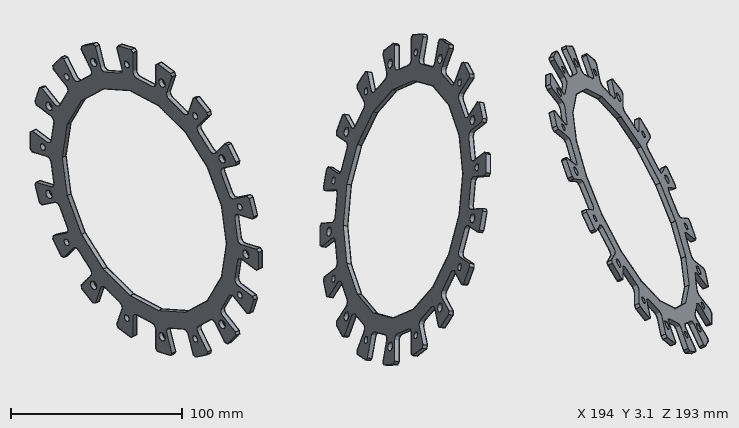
import cadquery as cq
import math

tooth_count = 18
tooth_pitch = 360 / tooth_count
tip_distance = 97.0
thickness = 3.1
bore_apothem = 68.7
slot_floor = 79.4
slot_width = 19.2
slot_floor_radius = 3.1
tooth_corner_chamfer = 1.7
hole_circle_radius = 86.4
large_hole_diameter = 5.2
small_hole_diameter = 4.0


def polygon_prism(apothem):
    """Regular prism centred on Y = 0, with one vertex per tooth."""
    half_pitch = math.radians(tooth_pitch / 2)
    diameter = 2 * apothem / math.cos(half_pitch)
    return cq.Workplane("XZ").polygon(tooth_count, diameter).extrude(thickness / 2, both=True)


def turned(body, angle):
    """Copy of the body turned about the ring axis, from +X toward +Z."""
    return body.rotate((0, 0, 0), (0, -1, 0), angle)


def make_blank():
    """Outer polygon with flats centred on the teeth, less the polygonal opening."""
    outer = turned(polygon_prism(tip_distance), tooth_pitch / 2)
    return outer.cut(polygon_prism(bore_apothem))


def make_slot():
    """Parallel-sided slot along +X with rounded floor corners and an open outer end."""
    slot_length = tip_distance
    return (
        cq.Workplane("XZ")
        .center(slot_floor + slot_length / 2, 0)
        .rect(slot_length, slot_width)
        .extrude(thickness, both=True)
        .edges("|Y and <X")
        .fillet(slot_floor_radius)
    )


def make_hole(diameter):
    """Through-hole cutter on +X."""
    return (
        cq.Workplane("XZ")
        .center(hole_circle_radius, 0)
        .circle(diameter / 2)
        .extrude(thickness, both=True)
    )


def is_tooth_corner(edge):
    """True for edges of the ring lying beyond the hole circle."""
    center = edge.Center()
    return math.hypot(center.x, center.z) > hole_circle_radius


ring = make_blank()
slot = make_slot()
for index in range(tooth_count):
    ring = ring.cut(turned(slot, (index + 0.5) * tooth_pitch))

ring = ring.edges("|Y").filter(is_tooth_corner).chamfer(tooth_corner_chamfer)

hole_diameters = (large_hole_diameter, small_hole_diameter)
for index in range(tooth_count):
    hole = make_hole(hole_diameters[index % 2])
    ring = ring.cut(turned(hole, index * tooth_pitch))

result = ring